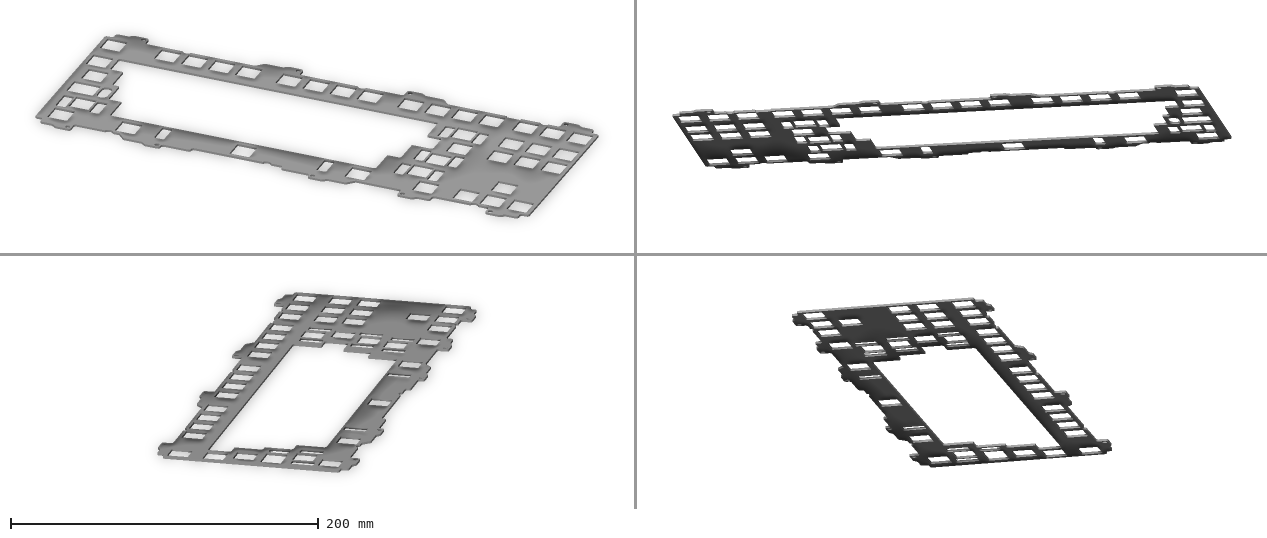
import cadquery as cq

length = 348.0
height = 133.5
thickness = 1.5
body_height = 118.7
outline_fillet = 1.55

half_body = body_height / 2

nav_columns = (15.25, 16.25, 17.25)
first_to_last_key = 328.5
key_unit = first_to_last_key / nav_columns[-1]
switch_size = 14.0
switch_fillet = 0.5
first_key_x = -first_to_last_key / 2
row_steps = (0, 1.25, 2.25, 3.25, 4.25, 5.25)
first_key_y = row_steps[-1] * key_unit / 2

switch_columns = (
    (0, 2, 3, 4, 5, 6.5, 7.5, 8.5, 9.5, 11, 12, 13, 14) + nav_columns,
    (0, 13.5) + nav_columns,
    (0.25, 13.75) + nav_columns,
    (13.375,),
    (0.625, 13.125, 16.25),
    (0.25, 2.75, 7, 11.25, 13.75) + nav_columns,
)

caps_column = 0.25
caps_row = 3
caps_shift = 0.25
caps_slot_x = -144.8
caps_slot_width = 7.3
caps_slot_height = 14.3

stabilizer_width = 7.0
stabilizer_height = 15.3
stabilizer_shift = 1.55
stabilizer_fillet = 1.0
short_stabilizer = 12.0
space_stabilizer = 3 * key_unit
stabilized_keys = (
    (13.5, 1, short_stabilizer, -1),
    (13.375, 3, short_stabilizer, 1),
    (0.625, 4, short_stabilizer, -1),
    (13.125, 4, short_stabilizer, -1),
    (7, 5, space_stabilizer, 1),
)

opening_fillet = 1.7
opening_top = 34.0
opening_bottom = -39.5
step_levels = (-0.52, -19.5)
band_overlap = 34.8
left_step_level = 18.5
right_step_level = 15.3
left_bands = (
    (-154.0, left_step_level, opening_top),
    (-144.5, step_levels[0], opening_top),
    (-139.2, step_levels[1], opening_top),
    (-130.0, opening_bottom, opening_top),
)
right_bands = (
    (71.5, step_levels[0], opening_top),
    (81.8, step_levels[0], right_step_level),
    (67.2, step_levels[1], right_step_level),
    (57.8, opening_bottom, right_step_level),
)

tab_hole_diameter = 3.2
tab_hole_y = 64.0
tab_end = 2.8
crown_y = height / 2
crown_end = 7.5
shoulder_y = 64.5
shoulder_start = 10.8
short_tab = (19.5, 19.5)
long_tab = (23.5, 28.5)
corner_hole_x = 149.0
lower_left_hole_x = -86.0
lower_middle_hole_x = 23.5
tabs = (
    (-corner_hole_x, -1, 1, short_tab),
    (-40.0, -1, 1, long_tab),
    (39.0, 1, 1, long_tab),
    (corner_hole_x, 1, 1, short_tab),
    (-corner_hole_x, -1, -1, short_tab),
    (lower_left_hole_x, -1, -1, long_tab),
    (lower_middle_hole_x, 1, -1, long_tab),
    (87.0, 1, -1, short_tab),
    (corner_hole_x, 1, -1, short_tab),
)

ledge_y = -62.5
ledge_length = 23.0
ledges = (
    (lower_left_hole_x, lower_left_hole_x + ledge_length),
    (lower_middle_hole_x - ledge_length, lower_middle_hole_x),
)

notch_width = 5.5
notch_depth = 1.7
notches = ((-116.5, 1), (7.0, 1), (135.8, 1), (-122.0, -1), (-10.5, -1), (135.8, -1))

recess_x = 114.2
recess_width = 10.0
recess_depth = 1.5


def sheet(points):
    return cq.Workplane("XY").polyline(points).close().extrude(thickness)


def rounded_cutter(x, y, size_x, size_y, radius):
    cutter = cq.Workplane("XY").center(x, y).rect(size_x, size_y).extrude(thickness)
    return cutter.edges("|Z").fillet(radius)


def key_x(column):
    return first_key_x + column * key_unit


def key_y(row):
    return first_key_y - row_steps[row] * key_unit


def switch_cutter(column, row, width):
    return rounded_cutter(key_x(column), key_y(row), width, switch_size, switch_fillet)


def tab(hole_x, direction, edge, shape):
    shoulder_end, foot = shape
    profile = (
        (-tab_end, 0),
        (-tab_end, crown_y),
        (crown_end, crown_y),
        (shoulder_start, shoulder_y),
        (shoulder_end, shoulder_y),
        (foot, half_body),
        (foot, 0),
    )
    points = [(hole_x + direction * along, edge * y) for along, y in profile]
    return sheet(points)


def ledge(start, end):
    return sheet([(start, 0), (end, 0), (end, ledge_y), (start, ledge_y)])


def notch(x, edge):
    mouth_y = edge * half_body
    deepest = (x, mouth_y - edge * notch_depth)
    half_width = notch_width / 2
    profile = cq.Workplane("XY").moveTo(x - half_width, mouth_y)
    return profile.threePointArc(deepest, (x + half_width, mouth_y)).close().extrude(thickness)


def opening_band(outer_x, inner_x, bottom, top):
    centre_x = (outer_x + inner_x) / 2
    centre_y = (bottom + top) / 2
    return rounded_cutter(centre_x, centre_y, abs(inner_x - outer_x), top - bottom, opening_fillet)


plate = cq.Workplane("XY").rect(length, body_height).extrude(thickness)
for placement in tabs:
    plate = plate.union(tab(*placement))
for span in ledges:
    plate = plate.union(ledge(*span))
plate = plate.clean().edges("|Z").fillet(outline_fillet)
for placement in notches:
    plate = plate.cut(notch(*placement))
recess = (
    cq.Workplane("XY")
    .center(recess_x, half_body)
    .rect(recess_width, 2 * recess_depth)
    .extrude(thickness)
)
plate = plate.cut(recess)

for outer_x, bottom, top in left_bands:
    plate = plate.cut(opening_band(outer_x, band_overlap, bottom, top))
for outer_x, bottom, top in right_bands:
    plate = plate.cut(opening_band(outer_x, -band_overlap, bottom, top))
for row, columns in enumerate(switch_columns):
    for column in columns:
        plate = plate.cut(switch_cutter(column, row, switch_size))
for column, row, offset, side in stabilized_keys:
    for x in (key_x(column) - offset, key_x(column) + offset):
        y = key_y(row) + side * stabilizer_shift
        plate = plate.cut(rounded_cutter(x, y, stabilizer_width, stabilizer_height, stabilizer_fillet))

caps_width = switch_size + caps_shift * key_unit
plate = plate.cut(switch_cutter(caps_column, caps_row, caps_width))
caps_slot = (
    cq.Workplane("XY")
    .center(caps_slot_x, key_y(caps_row))
    .slot2D(caps_slot_height, caps_slot_width, 90)
    .extrude(thickness)
)
plate = plate.cut(caps_slot)

hole_centres = [(hole_x, edge * tab_hole_y) for hole_x, direction, edge, shape in tabs]
holes = cq.Workplane("XY").pushPoints(hole_centres).circle(tab_hole_diameter / 2).extrude(thickness)
result = plate.cut(holes)